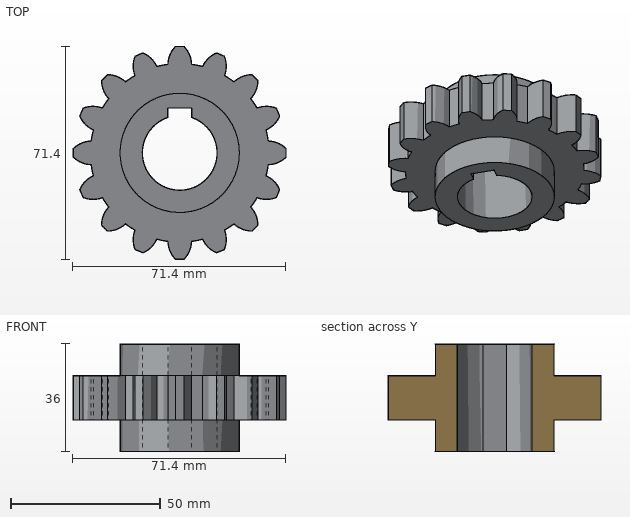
import cadquery as cq
import math

TOOTH_COUNT = 16
FACE_WIDTH = 15.0
TIP_DISTANCE = 35.7
TIP_HALF_WIDTH = 1.4
FLANK_DISTANCE = 33.6
FLANK_HALF_WIDTH = 3.0
ROOT_RADIUS = 30.0
ROOT_HALF_WIDTH = 4.0

HUB_DIAMETER = 40.0
HUB_LENGTH = 36.0
BORE_DIAMETER = 25.0
KEYWAY_WIDTH = 8.0
KEYWAY_TOP = 15.0

TOOTH_PITCH = 2 * math.pi / TOOTH_COUNT


def on_tooth(radial, sideways, tooth_angle):
    """Point given along and counterclockwise across a tooth's centreline."""
    return (
        radial * math.cos(tooth_angle) - sideways * math.sin(tooth_angle),
        radial * math.sin(tooth_angle) + sideways * math.cos(tooth_angle),
    )


def make_gear_ring():
    """Toothed disc with arc flanks, flat tips and arcs along the root circle."""
    root_distance = math.sqrt(ROOT_RADIUS**2 - ROOT_HALF_WIDTH**2)
    outline = cq.Workplane("XY").moveTo(root_distance, -ROOT_HALF_WIDTH)
    for tooth in range(TOOTH_COUNT):
        angle = tooth * TOOTH_PITCH
        next_angle = angle + TOOTH_PITCH
        outline = (
            outline
            .threePointArc(
                on_tooth(FLANK_DISTANCE, -FLANK_HALF_WIDTH, angle),
                on_tooth(TIP_DISTANCE, -TIP_HALF_WIDTH, angle),
            )
            .lineTo(*on_tooth(TIP_DISTANCE, TIP_HALF_WIDTH, angle))
            .threePointArc(
                on_tooth(FLANK_DISTANCE, FLANK_HALF_WIDTH, angle),
                on_tooth(root_distance, ROOT_HALF_WIDTH, angle),
            )
            .threePointArc(
                on_tooth(ROOT_RADIUS, 0, angle + TOOTH_PITCH / 2),
                on_tooth(root_distance, -ROOT_HALF_WIDTH, next_angle),
            )
        )
    return outline.close().extrude(FACE_WIDTH / 2, both=True)


def make_hub():
    """Hub projecting equally from both faces of the gear ring."""
    return cq.Workplane("XY").circle(HUB_DIAMETER / 2).extrude(HUB_LENGTH / 2, both=True)


def make_bore():
    """Through bore with a keyway on its +Y side."""
    bore = cq.Workplane("XY").circle(BORE_DIAMETER / 2).extrude(HUB_LENGTH / 2, both=True)
    keyway = (
        cq.Workplane("XY")
        .center(0, KEYWAY_TOP / 2)
        .rect(KEYWAY_WIDTH, KEYWAY_TOP)
        .extrude(HUB_LENGTH / 2, both=True)
    )
    return bore.union(keyway)


result = make_gear_ring().union(make_hub()).cut(make_bore())